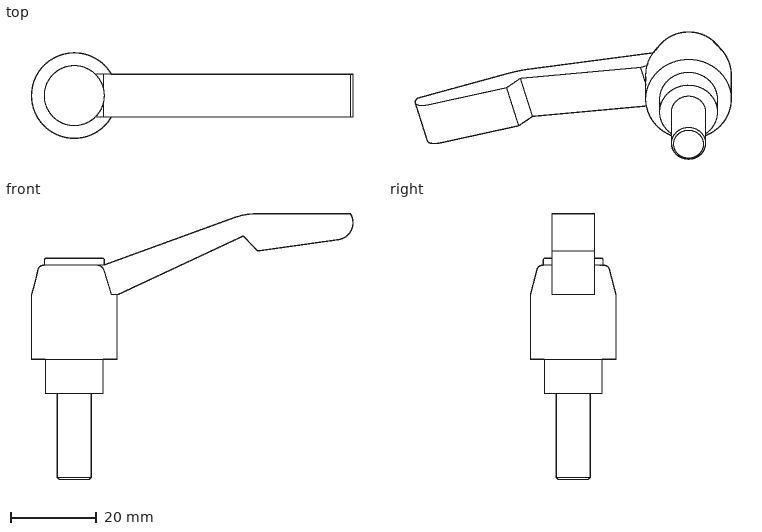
import cadquery as cq
import math


stud_diameter = 8.0
stud_length = 20.0
stud_chamfer = 0.5
collar_diameter = 13.5
collar_length = 8.0

hub_diameter = 20.0
hub_straight_height = 15.1
hub_height = 22.0
shoulder_diameter = 17.0
shoulder_height = 1.1
cap_diameter = 14.0
cap_height = 1.6
cap_rounding = 0.4

arm_width = 10.0
arm_top = 34.0
arm_angle = math.radians(20)
bend_radius = 15.0
bend_end_x = 42.45
arm_root_x = 10.2
notch_x = 39.4
notch_z = 28.75
heel_x = 42.75
heel_z = 25.25
grip_angle = math.radians(8)
tip_x = 65.0
tip_radius = 4.0


def make_turned_body():
    """Stud, collar, hub and cap as one revolved profile."""
    stud_radius = stud_diameter / 2
    collar_radius = collar_diameter / 2
    hub_radius = hub_diameter / 2
    shoulder_radius = shoulder_diameter / 2
    cap_radius = cap_diameter / 2
    collar_bottom = -collar_length
    stud_bottom = collar_bottom - stud_length
    shoulder_start = hub_height - shoulder_height
    cap_top = hub_height + cap_height

    taper_angle = math.atan2(hub_radius - shoulder_radius, shoulder_start - hub_straight_height)
    shoulder_arc_radius = shoulder_height / (1 - math.sin(taper_angle))
    shoulder_end = shoulder_radius - shoulder_arc_radius * math.cos(taper_angle)

    profile = (
        cq.Workplane("YZ")
        .moveTo(0, stud_bottom)
        .lineTo(stud_radius - stud_chamfer, stud_bottom)
        .lineTo(stud_radius, stud_bottom + stud_chamfer)
        .lineTo(stud_radius, collar_bottom)
        .lineTo(collar_radius, collar_bottom)
        .lineTo(collar_radius, 0)
        .lineTo(hub_radius, 0)
        .lineTo(hub_radius, hub_straight_height)
        .lineTo(shoulder_radius, shoulder_start)
        .tangentArcPoint((shoulder_end, hub_height), relative=False)
        .lineTo(cap_radius, hub_height)
        .lineTo(cap_radius, cap_top - cap_rounding)
        .tangentArcPoint((cap_radius - cap_rounding, cap_top), relative=False)
        .lineTo(0, cap_top)
        .close()
    )
    return profile.revolve(360, (0, 0, 0), (0, 1, 0))


def make_arm():
    """Cranked arm outline in the XZ plane, extruded symmetrically about Y = 0."""
    bend_start = (
        bend_end_x - bend_radius * math.sin(arm_angle),
        arm_top - bend_radius * (1 - math.cos(arm_angle)),
    )
    bend_middle = (
        bend_end_x - bend_radius * math.sin(arm_angle / 2),
        arm_top - bend_radius * (1 - math.cos(arm_angle / 2)),
    )
    root_top_x = bend_start[0] - (bend_start[1] - hub_height) / math.tan(arm_angle)

    tip_center_x = tip_x - tip_radius
    underside_z = heel_z + (tip_center_x - heel_x) * math.tan(grip_angle)
    tip_center_z = underside_z + tip_radius / math.cos(grip_angle)
    tip_top_x = tip_center_x + math.sqrt(tip_radius**2 - (arm_top - tip_center_z) ** 2)
    tip_tangent = (
        tip_center_x + tip_radius * math.sin(grip_angle),
        tip_center_z - tip_radius * math.cos(grip_angle),
    )

    outline = (
        cq.Workplane("XZ")
        .moveTo(0, hub_height)
        .lineTo(root_top_x, hub_height)
        .lineTo(*bend_start)
        .threePointArc(bend_middle, (bend_end_x, arm_top))
        .lineTo(tip_top_x, arm_top)
        .threePointArc((tip_x, tip_center_z), tip_tangent)
        .lineTo(heel_x, heel_z)
        .lineTo(notch_x, notch_z)
        .lineTo(arm_root_x, hub_straight_height)
        .lineTo(0, hub_straight_height)
        .close()
    )
    return outline.extrude(arm_width / 2, both=True)


result = make_turned_body().union(make_arm())